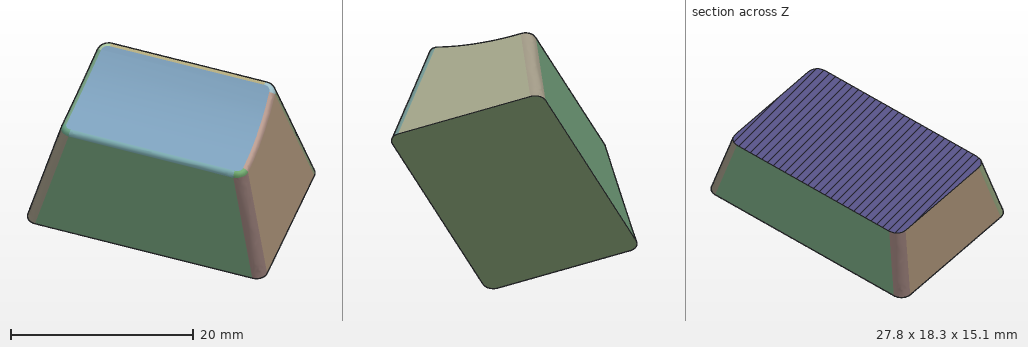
import cadquery as cq
import math

base_length = 27.82
base_width = 18.3

end_wall_lean = 13.8
front_wall_lean = 11.1
rear_wall_lean = 11.4

blank_height = 16.7

dish_radius = 25.87
dish_floor_z = 12.9
dish_center_y = -5.05

corner_radius = 1.3
top_edge_radius = 0.6


def make_tapered_block():
    """Four-sided frustum with rounded corner edges."""
    end_inset = blank_height * math.tan(math.radians(end_wall_lean))
    front_inset = blank_height * math.tan(math.radians(front_wall_lean))
    rear_inset = blank_height * math.tan(math.radians(rear_wall_lean))
    top_length = base_length - 2 * end_inset
    top_width = base_width - front_inset - rear_inset
    top_center_y = (front_inset - rear_inset) / 2
    block = (
        cq.Workplane("XY")
        .rect(base_length, base_width)
        .workplane(offset=blank_height)
        .center(0, top_center_y)
        .rect(top_length, top_width)
        .loft(ruled=True)
    )
    corner_edges = block.edges("not(#Z)")
    return corner_edges.fillet(corner_radius)


def make_dish_cutter():
    """Cylinder lying along X that scoops the top of the block."""
    return (
        cq.Workplane("YZ")
        .center(dish_center_y, dish_floor_z + dish_radius)
        .circle(dish_radius)
        .extrude(base_length / 2, both=True)
    )


scooped = make_tapered_block().cut(make_dish_cutter())
dish_face = scooped.faces(">Z")
result = dish_face.edges().fillet(top_edge_radius)